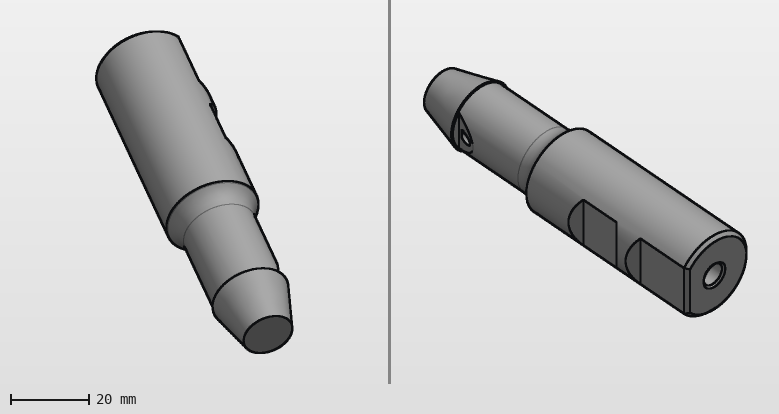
import cadquery as cq
import math

length = 100.0
shank_radius = 12.5
shank_end = 56.3
shoulder_chamfer = 0.3
neck_radius = 19.7 / 2
neck_start = 62.1
rear_chamfer = 1.1

barb_start = 86.2
barb_radius = 10.3
barb_taper = 15.0
tip_radius = barb_radius - (length - barb_start) * math.tan(math.radians(barb_taper))

flat_y = 9.8
flat_depth = shank_radius - flat_y
rear_flat_end = 17.1
second_flat_start = 25.9
second_flat_end = 38.1

notch_start = 78.6
notch_end = 86.0
notch_slope = 16.0
notch_floor_y = neck_radius - (notch_end - notch_start) * math.tan(math.radians(notch_slope))

bore_diameter = 6.5
bore_depth = 57.0
bore_tip_angle = 118.0
bore_countersink = 0.6
passage_diameter = 3.0
passage_angle = 15.0
passage_exit_x = 83.0
passage_exit_y = 8.6
passage_length = 28.0

cut_width = 2 * shank_radius


def make_body():
    """Revolve the shank, flared shoulder, neck and barb."""
    flare_start = shank_end + shoulder_chamfer
    flare_top = shank_radius - shoulder_chamfer
    return (
        cq.Workplane("XY")
        .moveTo(0, 0)
        .lineTo(0, shank_radius)
        .lineTo(shank_end, shank_radius)
        .lineTo(flare_start, flare_top)
        .threePointArc(flare_midpoint(flare_start, flare_top), (neck_start, neck_radius))
        .lineTo(barb_start, neck_radius)
        .lineTo(barb_start, barb_radius)
        .lineTo(length, tip_radius)
        .lineTo(length, 0)
        .close()
        .revolve(360, (0, 0, 0), (1, 0, 0))
    )


def flare_midpoint(flare_start, flare_top):
    """Midpoint of the arc that ends tangent to the neck."""
    run = neck_start - flare_start
    rise = flare_top - neck_radius
    radius = (run**2 + rise**2) / (2 * rise)
    half_angle = math.asin(run / radius) / 2
    return (
        neck_start - radius * math.sin(half_angle),
        neck_radius + radius * (1 - math.cos(half_angle)),
    )


def side_cutter(points):
    """Extrude an XY outline through the full height of the part."""
    return cq.Workplane("XY").polyline(points).close().extrude(cut_width / 2, both=True)


def rear_flat():
    return side_cutter([
        (0, flat_y),
        (rear_flat_end, flat_y),
        (rear_flat_end + flat_depth, shank_radius),
        (0, shank_radius),
    ])


def second_flat():
    return side_cutter([
        (second_flat_start, flat_y),
        (second_flat_end, flat_y),
        (second_flat_end + flat_depth, shank_radius),
        (second_flat_start - flat_depth, shank_radius),
    ])


def outlet_notch():
    return side_cutter([
        (notch_start, neck_radius),
        (notch_end, notch_floor_y),
        (notch_end, shank_radius),
        (notch_start, shank_radius),
    ])


def rear_bore():
    """Countersunk blind bore with a drill-point end."""
    radius = bore_diameter / 2
    point_length = radius / math.tan(math.radians(bore_tip_angle / 2))
    return (
        cq.Workplane("XY")
        .polyline([
            (0, 0),
            (0, radius + bore_countersink),
            (bore_countersink, radius),
            (bore_depth, radius),
            (bore_depth + point_length, 0),
        ])
        .close()
        .revolve(360, (0, 0, 0), (1, 0, 0))
    )


def outlet_passage():
    """Inclined hole from the notch back into the bore."""
    angle = math.radians(passage_angle)
    overrun = passage_diameter / 2
    start = cq.Vector(
        passage_exit_x + overrun * math.cos(angle),
        passage_exit_y + overrun * math.sin(angle),
        0,
    )
    direction = cq.Vector(-math.cos(angle), -math.sin(angle), 0)
    return cq.Workplane(cq.Solid.makeCylinder(
        passage_diameter / 2, passage_length + overrun, start, direction
    ))


body = make_body().cut(rear_flat())
body = body.faces("<X").edges().chamfer(rear_chamfer)
for cutter in (second_flat(), outlet_notch(), rear_bore(), outlet_passage()):
    body = body.cut(cutter)
result = body